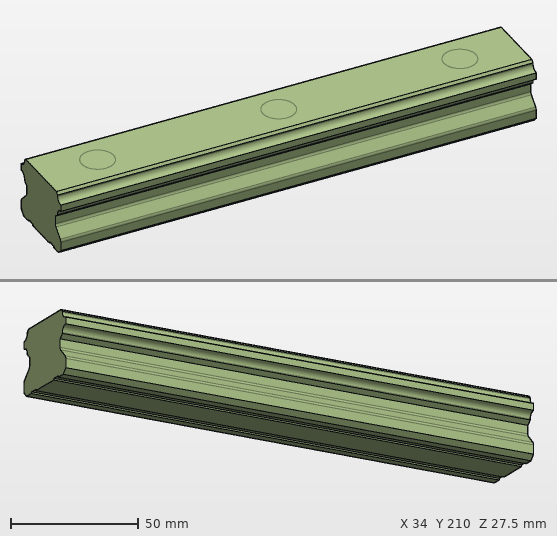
import cadquery as cq
import math

length = 210.0
width = 34.0
height = 27.5

head_half_width = 14.3
top_chamfer = 1.0
upper_groove_center = 26.0
lower_groove_center = 17.6
head_bottom = 17.2

waist_half_width = 12.4
waist_top = 15.5
waist_bottom = 12.0
slope_round = 1.7
foot_chamfer = 2.0

relief_inner = 7.1
relief_outer = 11.0
relief_depth = 0.6
relief_taper = 0.2

cap_diameter = 14.0
cap_pitch = 80.0
cap_count = 3
cap_thickness = 2.0

half_width = width / 2


def rail_body():
    """Extrude the half section to +X of the centre plane and mirror it."""
    groove_radius = half_width - head_half_width
    groove_diagonal = groove_radius * math.sqrt(0.5)
    lip_top = upper_groove_center - groove_radius
    lip_bottom = lower_groove_center + groove_radius

    slope_angle = math.radians(45)
    round_rise = slope_round * math.sin(slope_angle)
    round_run = slope_round * (1 - math.cos(slope_angle))
    round_middle_rise = slope_round * math.sin(slope_angle / 2)
    round_middle_run = slope_round * (1 - math.cos(slope_angle / 2))
    slope_run = half_width - waist_half_width - 2 * round_run
    slope_top = waist_bottom - round_rise
    slope_bottom = slope_top - slope_run
    base_top = slope_bottom - round_rise

    half_rail = (
        cq.Workplane("XZ", origin=(0, length / 2, 0))
        .moveTo(0, height)
        .lineTo(head_half_width - top_chamfer, height)
        .lineTo(head_half_width, height - top_chamfer)
        .lineTo(head_half_width, upper_groove_center)
        .threePointArc(
            (half_width - groove_diagonal, upper_groove_center - groove_diagonal),
            (half_width, lip_top),
        )
        .lineTo(half_width, lip_bottom)
        .threePointArc(
            (half_width - groove_diagonal, lower_groove_center + groove_diagonal),
            (head_half_width, lower_groove_center),
        )
        .lineTo(head_half_width, head_bottom)
        .lineTo(waist_half_width, waist_top)
        .lineTo(waist_half_width, waist_bottom)
        .threePointArc(
            (waist_half_width + round_middle_run, waist_bottom - round_middle_rise),
            (waist_half_width + round_run, slope_top),
        )
        .lineTo(half_width - round_run, slope_bottom)
        .threePointArc(
            (half_width - round_middle_run, base_top + round_middle_rise),
            (half_width, base_top),
        )
        .lineTo(half_width, foot_chamfer)
        .lineTo(half_width - foot_chamfer, 0)
        .lineTo(relief_outer, 0)
        .lineTo(relief_outer - relief_taper, relief_depth)
        .lineTo(relief_inner + relief_taper, relief_depth)
        .lineTo(relief_inner, 0)
        .lineTo(0, 0)
        .close()
        .extrude(length)
    )
    return half_rail.union(half_rail.mirror("YZ"))


def hole_caps():
    """Discs along the centre line that fill the bolt holes up to the top face."""
    return (
        cq.Workplane("XY", origin=(0, 0, height))
        .rarray(2, cap_pitch, 1, cap_count)
        .circle(cap_diameter / 2)
        .extrude(-cap_thickness)
    )


caps = hole_caps()
result = rail_body().cut(caps).union(caps, clean=False).solids()